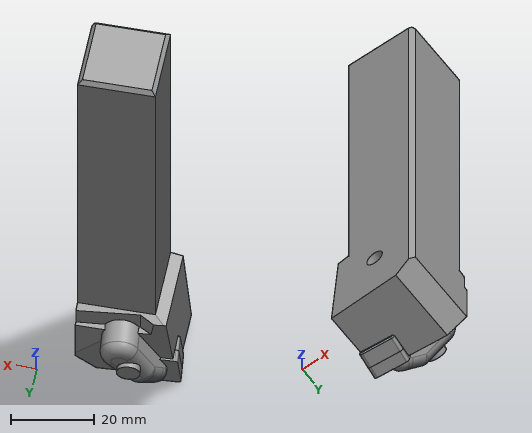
import cadquery as cq
import math


total_length = 114.3
shank_size = 19.1
end_chamfer = 1.0
long_edge_chamfer = 1.1

head_y = 22.2
head_step = 3.1
step_top_z = 25.6
step_edge_z = 24.9
lead_angle = 5.0
front_edge_angle = 4.2
front_edge_z = 1.7
heel_chamfer = 5.0

insert_side = 9.7
insert_thickness = 3.2
nose_angle = 80.0
nose_radius = 0.8
nose_overhang = 6.3
shim_thickness = 4.3
shim_chamfer = 0.3
rake_angle = 6.0
head_relief = 0.6

clamp_tip_x, clamp_tip_z = 6.4, 6.1
clamp_heel_x, clamp_heel_z = 14.3, 18.0
clamp_tip_radius = 3.1
clamp_heel_radius = 4.8
clamp_tip_height = 2.4
clamp_heel_height = 6.2
clamp_slope_length = 7.4
clamp_embed = 4.6
clamp_rounding = 2.9
clamp_round_from_y = 20.5

screw_x, screw_z = 7.8, 17.1
screw_hole_diameter = 4.6
screw_hole_depth = 8.0
drill_point_angle = 118.0
screw_head_diameter = 5.7
screw_head_y = 29.1

recess_corner = (3.5, 19.8)
recess_back_angle = 5.2
recess_side_angle = 151.0
recess_floor_z = 20.6

clearance = 45.7
rake_slope = math.tan(math.radians(rake_angle))
rake_normal = cq.Vector(-rake_slope, 1, -rake_slope).normalized()


def rake_plane(depth=0.0):
    """Plane parallel to the insert's top face, measured from it into the holder.

    Local x follows +X, local y follows +Z and the normal points into the holder.
    """
    nose = cq.Vector(-nose_overhang, shank_size, 0)
    return cq.Plane(origin=nose - rake_normal * depth, xDir=(1, rake_slope, 0), normal=-rake_normal)


def rhombus_prism(depth, thickness):
    """Rounded rhombus below the rake plane with its nose at the local origin."""
    half_nose = math.radians(nose_angle / 2)
    corner_loss = nose_radius * (math.tan(half_nose) + 1 / math.tan(half_nose))
    centre_side = insert_side - corner_loss
    front = math.radians(lead_angle)
    side = math.radians(lead_angle + nose_angle)
    front_end = (centre_side * math.cos(front), centre_side * math.sin(front))
    side_end = (centre_side * math.cos(side), centre_side * math.sin(side))
    far_end = (front_end[0] + side_end[0], front_end[1] + side_end[1])
    return (
        cq.Workplane(rake_plane(depth))
        .center(nose_radius, nose_radius)
        .polyline([(0, 0), front_end, far_end, side_end])
        .close()
        .offset2D(nose_radius)
        .extrude(thickness)
    )


def make_shank():
    """Square bar with a chamfered end."""
    shank = cq.Workplane("XY").box(
        shank_size, shank_size, total_length - step_edge_z, centered=False
    ).translate((0, 0, step_edge_z))
    return shank.faces(">Z").chamfer(end_chamfer)


def make_head():
    """Head block with sloped steps on its -X and +Y sides, cut by the rake face."""
    corner_x = -head_step - (step_edge_z - front_edge_z) * math.tan(math.radians(lead_angle))
    heel_x = shank_size - heel_chamfer
    heel_z = front_edge_z + (heel_x - corner_x) * math.tan(math.radians(front_edge_angle))
    front_outline = [
        (0, step_top_z),
        (-head_step, step_edge_z),
        (corner_x, front_edge_z),
        (heel_x, heel_z),
        (shank_size, heel_z + heel_chamfer),
        (shank_size, step_top_z),
    ]
    side_outline = [(0, 0), (head_y, 0), (head_y, step_edge_z), (shank_size, step_top_z), (0, step_top_z)]
    block = cq.Workplane("XZ").polyline(front_outline).close().extrude(-head_y)
    side = cq.Workplane("YZ").polyline(side_outline).close().extrude(clearance, both=True)
    above_rake = (
        cq.Workplane(rake_plane(head_relief))
        .rect(2 * clearance, 2 * clearance)
        .extrude(-clearance)
    )
    return block.intersect(side).cut(above_rake)


def make_heel_recess():
    """Wedge-shaped recess with upright walls, open towards +X and +Y."""
    corner = cq.Vector(*recess_corner)
    back = math.radians(recess_back_angle)
    side = math.radians(recess_side_angle)
    back_end = corner + cq.Vector(math.cos(back), math.sin(back)) * clearance
    side_end = corner + cq.Vector(math.cos(side), math.sin(side)) * clearance
    outline = [(p.x, p.y) for p in (corner, back_end, side_end)]
    return (
        cq.Workplane("XY", origin=(0, 0, recess_floor_z))
        .polyline(outline)
        .close()
        .extrude(step_top_z - recess_floor_z)
    )


def make_long_edge_cutter():
    """Chamfer along the full +X, -Y edge."""
    outline = [(shank_size, 0), (shank_size - long_edge_chamfer, 0), (shank_size, long_edge_chamfer)]
    return cq.Workplane("XY").polyline(outline).close().extrude(total_length)


def make_clamp():
    """Finger clamp: a tapered plan outline under a roof that slopes down to the insert."""
    run_x = clamp_heel_x - clamp_tip_x
    run_z = clamp_heel_z - clamp_tip_z
    length = math.hypot(run_x, run_z)
    base = rake_plane()
    axis = (base.xDir * run_x + base.yDir * run_z).normalized()
    tip = base.toWorldCoords((clamp_tip_x, clamp_tip_z, 0))
    plan_plane = cq.Plane(origin=tip - rake_normal * clamp_embed, xDir=axis, normal=rake_normal)
    taper = (clamp_tip_radius - clamp_heel_radius) / length
    rise = math.sqrt(1 - taper**2)
    tip_y, tip_along = clamp_tip_radius * rise, clamp_tip_radius * taper
    heel_y, heel_along = clamp_heel_radius * rise, length + clamp_heel_radius * taper
    plan = (
        cq.Workplane(plan_plane)
        .moveTo(tip_along, -tip_y)
        .lineTo(heel_along, -heel_y)
        .threePointArc((length + clamp_heel_radius, 0), (heel_along, heel_y))
        .lineTo(tip_along, tip_y)
        .threePointArc((-clamp_tip_radius, 0), (tip_along, -tip_y))
        .close()
        .extrude(clamp_embed + clamp_heel_height)
    )
    roof_plane = cq.Plane(origin=tip, xDir=axis, normal=axis.cross(rake_normal))
    slope_cut = [
        (-clamp_tip_radius, clamp_tip_height),
        (clamp_slope_length - clamp_tip_radius, clamp_heel_height),
        (-clamp_tip_radius, clamp_heel_height),
    ]
    above_slope = cq.Workplane(roof_plane).polyline(slope_cut).close().extrude(clearance, both=True)
    upper_edges = cq.selectors.BoxSelector(
        (-clearance, clamp_round_from_y, -clearance), (clearance, clearance, clearance)
    )
    return plan.cut(above_slope).edges(upper_edges).fillet(clamp_rounding)


def screw_axis_plane(y):
    """Plane square to the screw, where its axis reaches the given Y."""
    run = y / rake_normal.y
    origin = cq.Vector(screw_x, 0, screw_z) + rake_normal * run
    return cq.Plane(origin=origin, xDir=(1, rake_slope, 0), normal=rake_normal)


def make_screw_head():
    return (
        cq.Workplane(screw_axis_plane(screw_head_y))
        .circle(screw_head_diameter / 2)
        .extrude(-clamp_heel_height)
    )


def make_screw_hole():
    """Drilled hole with a conical point, starting outside the -Y face."""
    radius = screw_hole_diameter / 2
    axis_plane = screw_axis_plane(0)
    side_normal = axis_plane.xDir.cross(rake_normal)
    side_plane = cq.Plane(origin=axis_plane.origin, xDir=axis_plane.xDir, normal=side_normal)
    point = radius / math.tan(math.radians(drill_point_angle / 2))
    half_section = [
        (0, -radius),
        (radius, -radius),
        (radius, screw_hole_depth),
        (0, screw_hole_depth + point),
    ]
    return cq.Workplane(side_plane).polyline(half_section).close().revolve(360, (0, 0), (0, 1))


insert = rhombus_prism(0, insert_thickness)

shim = rhombus_prism(insert_thickness, shim_thickness)
shim = shim.faces("<Y").chamfer(shim_chamfer)

holder = make_shank().union(make_head().cut(make_heel_recess()))
holder = holder.cut(make_long_edge_cutter()).union(shim)
holder = holder.union(make_clamp()).union(make_screw_head())
holder = holder.cut(make_screw_hole()).cut(insert)

result = cq.Compound.makeCompound([holder.val(), insert.val()])